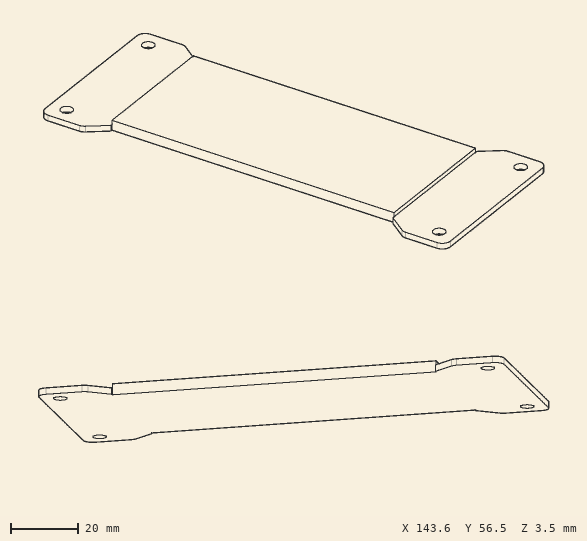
import cadquery as cq

length = 143.6
width = 56.5
flange_thickness = 2.0

panel_length = 100.0
panel_width = 45.0
panel_thickness = 3.5

straight_length = 15.0
taper_end_width = 46.2
corner_radius = 2.9
shoulder_radius = 2.9
selection_margin = 1.5

hole_diameter = 4.0
hole_spacing_x = 132.0
hole_spacing_y = 45.0


def make_flange(side):
    """End flange; side is -1 for the -X end and +1 for the +X end."""
    outer_x = side * length / 2
    shoulder_x = side * (length / 2 - straight_length)
    inner_x = side * panel_length / 2
    outline = [
        (outer_x, -width / 2),
        (shoulder_x, -width / 2),
        (inner_x, -taper_end_width / 2),
        (inner_x, taper_end_width / 2),
        (shoulder_x, width / 2),
        (outer_x, width / 2),
    ]
    flange = cq.Workplane("XY").polyline(outline).close().extrude(flange_thickness)
    outer_face = ">X" if side > 0 else "<X"
    flange = flange.faces(outer_face).edges("|Z").fillet(corner_radius)
    shoulder_box = cq.selectors.BoxSelector(
        (shoulder_x - selection_margin, -width, -selection_margin),
        (shoulder_x + selection_margin, width, panel_thickness),
    )
    return flange.edges("|Z").edges(shoulder_box).fillet(shoulder_radius)


panel = cq.Workplane("XY").box(
    panel_length, panel_width, panel_thickness, centered=(True, True, False)
)
plate = panel.union(make_flange(-1)).union(make_flange(1))

holes = (
    cq.Workplane("XY")
    .rect(hole_spacing_x, hole_spacing_y, forConstruction=True)
    .vertices()
    .circle(hole_diameter / 2)
    .extrude(panel_thickness)
)

result = plate.cut(holes)